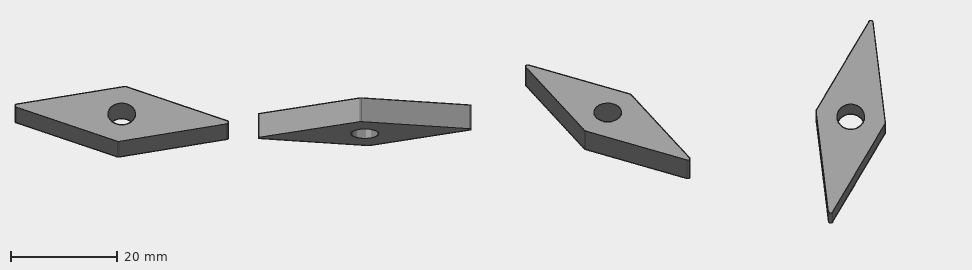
import cadquery as cq
import math

length = 38.55
width = 12.7
thickness = 4.78
tip_angle = math.radians(35)
hole_diameter = 5.15

side = width / math.sin(tip_angle)
lean = side * math.cos(tip_angle)
sharp_length = side + lean

loss_per_radius = 1 / math.tan(tip_angle / 2) - 1
corner_radius = (sharp_length - length) / 2 / loss_per_radius

half_length = sharp_length / 2
half_width = width / 2
corners = [
    (-half_length, -half_width),
    (half_length - lean, -half_width),
    (half_length, half_width),
    (lean - half_length, half_width),
]

body = cq.Workplane("XY").polyline(corners).close().extrude(thickness)
body = body.edges("|Z").fillet(corner_radius)
result = body.faces(">Z").workplane(origin=(0, 0, thickness)).hole(hole_diameter)